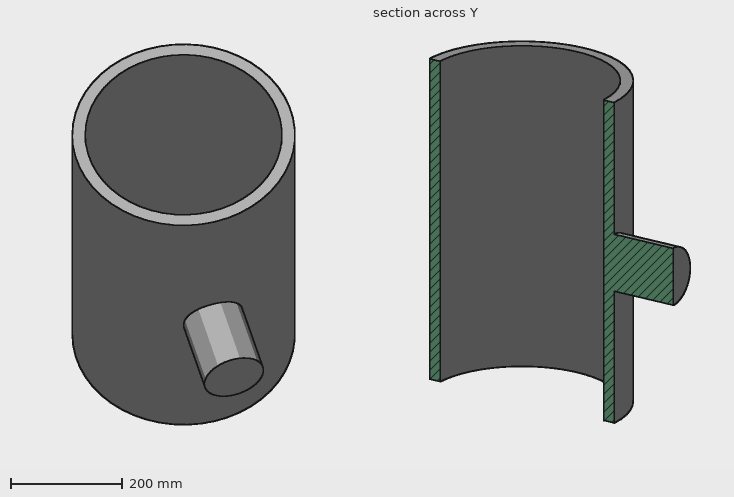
import cadquery as cq

pipe_height = 615.0
pipe_diameter = 400.0
pipe_bore = 353.0

branch_diameter = 110.0
branch_reach = 327.0


def main_pipe_body():
    return cq.Workplane("XY").circle(pipe_diameter / 2).extrude(pipe_height / 2, both=True)


def main_pipe_bore():
    return cq.Workplane("XY").circle(pipe_bore / 2).extrude(pipe_height / 2, both=True)


def side_branch():
    return cq.Workplane("YZ").circle(branch_diameter / 2).extrude(branch_reach)


result = main_pipe_body().union(side_branch()).cut(main_pipe_bore())